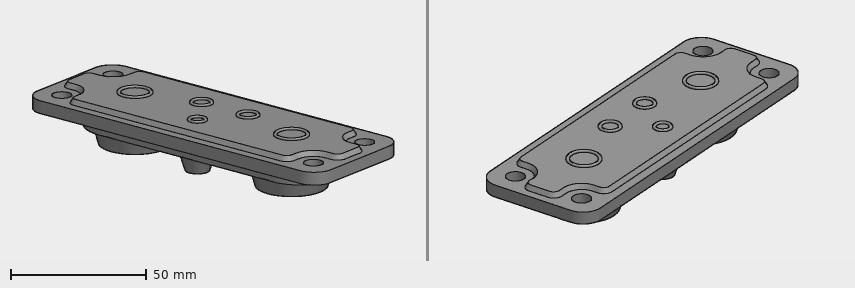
import cadquery as cq
import math

cone_height = 6.3
skirt_height = 6.3
plate_height = 5.0
panel_height = 2.0
skirt_z = cone_height
plate_z = skirt_z + skirt_height
panel_z = plate_z + plate_height
panel_top_z = panel_z + panel_height

plate_length = 140.0
plate_width = 50.0
plate_corner_radius = 8.0
hole_diameter = 7.4
hole_x = 60.0
hole_y = 15.0

panel_half_length = 66.5
panel_half_width = 21.1
panel_corner_radius = 3.8
scoop_radius = 7.0
panel_side_inset = 1.19
panel_side_angle = math.degrees(math.atan2(panel_side_inset, panel_height))

skirt_length = 115.0
skirt_width = 31.8

ring_width = 1.4
ring_height = 0.7
ring_fillet = 0.5

large_entry_x = 37.4
large_entry_radii = (15.4, 13.6, 6.7)
medium_entry_x = 11.0
medium_entry_y = 6.7
medium_entry_radii = (9.1, 7.1, 4.5)
small_entry_y = -9.2
small_entry_radii = (6.6, 4.6, 3.8)
entries = [
    (-large_entry_x, 0, *large_entry_radii),
    (large_entry_x, 0, *large_entry_radii),
    (-medium_entry_x, medium_entry_y, *medium_entry_radii),
    (medium_entry_x, medium_entry_y, *medium_entry_radii),
    (0, small_entry_y, *small_entry_radii),
]


def make_plate():
    return (
        cq.Workplane("XY", origin=(0, 0, plate_z))
        .rect(plate_length, plate_width)
        .extrude(plate_height)
        .edges("|Z")
        .fillet(plate_corner_radius)
    )


def make_skirt():
    return (
        cq.Workplane("XY", origin=(0, 0, skirt_z))
        .slot2D(skirt_length, skirt_width)
        .extrude(skirt_height)
    )


def make_panel():
    body_half_length = hole_x - scoop_radius
    tongue_half_width = hole_y - scoop_radius
    corner_offset = panel_corner_radius * (1 - math.sqrt(0.5))
    scoop_offset = scoop_radius * math.sqrt(0.5)

    quarter = (
        cq.Workplane("XY", origin=(0, 0, panel_z))
        .moveTo(panel_half_length, 0)
        .lineTo(panel_half_length, tongue_half_width - panel_corner_radius)
        .threePointArc(
            (panel_half_length - corner_offset, tongue_half_width - corner_offset),
            (panel_half_length - panel_corner_radius, tongue_half_width),
        )
        .lineTo(hole_x, tongue_half_width)
        .threePointArc(
            (hole_x - scoop_offset, hole_y - scoop_offset),
            (body_half_length, hole_y),
        )
        .lineTo(body_half_length, panel_half_width - panel_corner_radius)
        .threePointArc(
            (body_half_length - corner_offset, panel_half_width - corner_offset),
            (body_half_length - panel_corner_radius, panel_half_width),
        )
        .lineTo(0, panel_half_width)
    )
    return quarter.mirrorY().mirrorX().extrude(panel_height, taper=panel_side_angle)


def make_cone(x, y, skirt_radius, end_radius):
    return (
        cq.Workplane("XY", origin=(x, y, 0))
        .circle(end_radius)
        .workplane(offset=cone_height)
        .circle(skirt_radius)
        .loft()
    )


def make_ring(x, y, outer_radius):
    return (
        cq.Workplane("XY", origin=(x, y, panel_top_z))
        .circle(outer_radius)
        .circle(outer_radius - ring_width)
        .extrude(ring_height)
        .faces(">Z")
        .edges()
        .fillet(ring_fillet)
    )


result = make_plate().union(make_skirt()).union(make_panel())
for x, y, skirt_radius, end_radius, ring_radius in entries:
    result = result.union(make_cone(x, y, skirt_radius, end_radius))
    result = result.union(make_ring(x, y, ring_radius))

mounting_holes = (
    cq.Workplane("XY", origin=(0, 0, plate_z))
    .rect(2 * hole_x, 2 * hole_y, forConstruction=True)
    .vertices()
    .circle(hole_diameter / 2)
    .extrude(plate_height)
)
result = result.cut(mounting_holes)